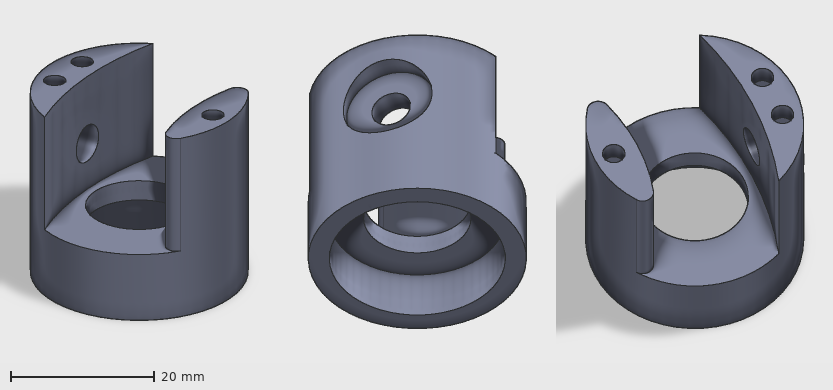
import cadquery as cq

outer_diameter = 30.5
bore_diameter = 15.0
recess_diameter = 24.6
recess_depth = 7.32
base_height = 10.35
total_height = 28.0
post_height = total_height - base_height

gap_half_width = 8.78
post_arc_radius = 48.0
gap_center_x = post_arc_radius - gap_half_width
lug_arc_radius = gap_center_x - gap_half_width
lug_corner_radius = 1.55

pin_diameter = 3.1
pin_depth = 3.0
post_pin_x = -11.9
post_pin_spacing = 6.92
lug_pin_x = 12.38

cross_hole_diameter = 5.6
counterbore_diameter = 13.0
counterbore_floor_x = -12.2
cross_hole_z = 17.5


def cylinder(diameter, bottom, height):
    """Vertical cylinder on the ring axis."""
    return cq.Workplane("XY").workplane(offset=bottom).circle(diameter / 2).extrude(height)


def gap_cylinder(radius):
    """Cylinder about the gap centre, as tall as the posts."""
    return (
        cq.Workplane("XY").workplane(offset=base_height)
        .center(gap_center_x, 0).circle(radius).extrude(post_height)
    )


def cross_cylinder(diameter, start_x, end_x):
    """Cylinder along X at the height of the cross hole."""
    return (
        cq.Workplane("YZ").workplane(offset=start_x)
        .center(0, cross_hole_z).circle(diameter / 2).extrude(end_x - start_x)
    )


def make_base():
    """Ring with a wider recess in its underside."""
    ring = cylinder(outer_diameter, 0, base_height).cut(cylinder(bore_diameter, 0, base_height))
    return ring.cut(cylinder(recess_diameter, 0, recess_depth))


def make_wide_post():
    """Sharp-edged crescent post with a counterbored cross hole."""
    post = cylinder(outer_diameter, base_height, post_height).cut(gap_cylinder(post_arc_radius))
    post = post.cut(cross_cylinder(cross_hole_diameter, -outer_diameter / 2, 0))
    return post.cut(cross_cylinder(counterbore_diameter, -outer_diameter / 2, counterbore_floor_x))


def make_lug():
    """Lens-shaped lug with rounded vertical corners."""
    lug = cylinder(outer_diameter, base_height, post_height).intersect(gap_cylinder(lug_arc_radius))
    corners = cq.selectors.BoxSelector(
        (0, -outer_diameter, base_height),
        (lug_pin_x, outer_diameter, total_height),
    )
    return lug.edges("|Z").edges(corners).fillet(lug_corner_radius)


pin_points = [
    (post_pin_x, -post_pin_spacing / 2),
    (post_pin_x, post_pin_spacing / 2),
    (lug_pin_x, 0),
]
pin_holes = (
    cq.Workplane("XY").workplane(offset=total_height)
    .pushPoints(pin_points).circle(pin_diameter / 2).extrude(-pin_depth)
)

result = make_base().union(make_wide_post()).union(make_lug()).cut(pin_holes)